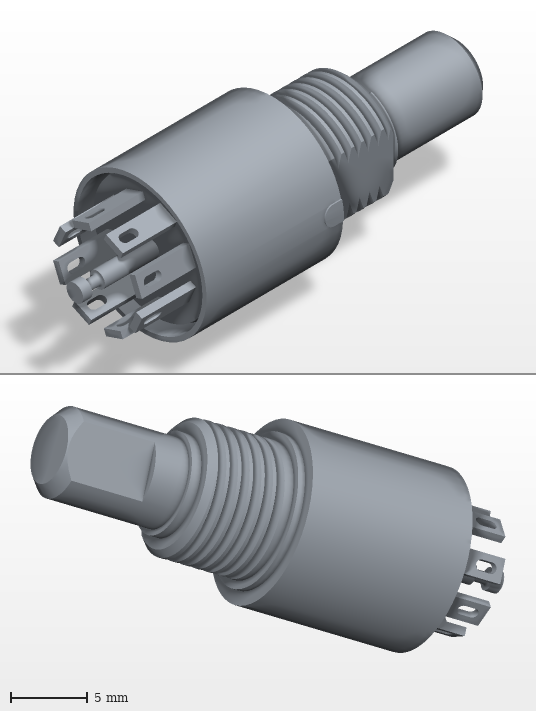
import cadquery as cq
import math


BARREL_DIAMETER = 12.7
BARREL_RADIUS = BARREL_DIAMETER / 2
BARREL_REAR_Y = -12.35
RECESS_RADIUS = 5.95
RECESS_DEPTH = 1.05
BASE_FACE_RADIUS = 5.55
BASE_TAPER_DEPTH = 1.55
BASE_FACE_Y = BARREL_REAR_Y + RECESS_DEPTH

NUB_HEIGHT = 0.1
NUB_RADIUS = BARREL_RADIUS + NUB_HEIGHT
NUB_WIDTH = 1.65
NUB_LENGTH = 1.65
NUB_Z = 0.73

FLANGE_RADIUS = 5.37
FLANGE_FRONT_Y = 0.52
BUSHING_FRONT_Y = 6.9
BUSHING_FLAT_X = 3.88
BUSHING_CHAMFER = 0.45
THREAD_CREST_RADIUS = 4.78
THREAD_ROOT_RADIUS = 4.23
THREAD_PITCH = 0.9
THREAD_HALF_ANGLE = 30
THREAD_START_Y = 1.07
THREAD_OVERCUT = 0.1

TERMINAL_COUNT = 8
TERMINAL_CIRCLE_RADIUS = 3.95
TERMINAL_WIDTH = 1.73
TERMINAL_THICKNESS = 0.6
TERMINAL_REAR_Y = -16.18
TERMINAL_EYE_LENGTH = 1.55
TERMINAL_EYE_WIDTH = 0.75
TERMINAL_EYE_Y = -14.9

POST_RADIUS = 0.73
NECK_RADIUS = 0.4
NECK_FILLET = 0.15
TURRET_HEAD_RADIUS = 0.8
TURRET_HEAD_FRONT_Y = -17.4
TURRET_REAR_Y = -18.23

SHAFT_RADIUS = 3.15
SHAFT_TIP_Y = 16.42
SHAFT_CHAMFER = 0.8
SHAFT_FLAT_LENGTH = 6.27
SHAFT_FLAT_DISTANCE = 2.43
SHAFT_FLAT_ANGLE = 22.5

RING_RADIUS = 3.57
RING_THICKNESS = 0.73
GROOVE_RADIUS = 3.0
RING_GAP_INNER_WIDTH = 1.05
RING_GAP_OUTER_WIDTH = 2.08

AXIS_PLANE = cq.Plane(origin=(0, 0, 0), xDir=(1, 0, 0), normal=(0, 1, 0))


def cylinder(radius, start_y, end_y):
    """Cylinder on the Y axis between two Y positions."""
    return cq.Workplane(AXIS_PLANE).workplane(offset=start_y).circle(radius).extrude(end_y - start_y)


def thread_groove():
    """Right-hand V groove that starts inside the bushing flat and runs out of the front face."""
    outer_radius = THREAD_CREST_RADIUS + THREAD_OVERCUT
    half_width = (outer_radius - THREAD_ROOT_RADIUS) * math.tan(math.radians(THREAD_HALF_ANGLE))
    height = BUSHING_FRONT_Y - THREAD_START_Y + THREAD_PITCH
    helix = cq.Wire.makeHelix(THREAD_PITCH, height, THREAD_ROOT_RADIUS)
    profile = (
        cq.Workplane("XZ")
        .moveTo(THREAD_ROOT_RADIUS, 0)
        .lineTo(outer_radius, half_width)
        .lineTo(outer_radius, -half_width)
        .close()
    )
    groove = profile.sweep(cq.Workplane(helix), isFrenet=True)
    return groove.rotate((0, 0, 0), (1, 0, 0), -90).translate((0, THREAD_START_Y, 0))


def threaded_bushing():
    """Bushing with a flat on its +X side and a thread cut around the rest."""
    bushing = cylinder(THREAD_CREST_RADIUS, FLANGE_FRONT_Y, BUSHING_FRONT_Y)
    bushing = bushing.faces(">Y").chamfer(BUSHING_CHAMFER)
    length = BUSHING_FRONT_Y - FLANGE_FRONT_Y
    beyond_flat = cq.Workplane("XY").box(
        THREAD_CREST_RADIUS, length, 2 * THREAD_CREST_RADIUS, centered=(False, False, True)
    )
    bushing = bushing.cut(beyond_flat.translate((BUSHING_FLAT_X, FLANGE_FRONT_Y, 0)))
    return bushing.cut(thread_groove())


def barrel():
    """Barrel whose recessed rear face has a tapered edge, leaving a V groove along the recess wall."""
    outline = (
        cq.Workplane("XY")
        .moveTo(0, 0)
        .lineTo(BARREL_RADIUS, 0)
        .lineTo(BARREL_RADIUS, BARREL_REAR_Y)
        .lineTo(RECESS_RADIUS, BARREL_REAR_Y)
        .lineTo(RECESS_RADIUS, BASE_FACE_Y + BASE_TAPER_DEPTH)
        .lineTo(BASE_FACE_RADIUS, BASE_FACE_Y)
        .lineTo(0, BASE_FACE_Y)
        .close()
    )
    return outline.revolve(360, (0, 0, 0), (0, 1, 0))


def locating_nub():
    """Raised pad with a round rear end, concentric with the barrel."""
    end_radius = NUB_WIDTH / 2
    straight_length = NUB_LENGTH - end_radius
    pad = (
        cq.Workplane("YZ")
        .moveTo(0, NUB_Z + end_radius)
        .lineTo(-straight_length, NUB_Z + end_radius)
        .threePointArc((-NUB_LENGTH, NUB_Z), (-straight_length, NUB_Z - end_radius))
        .lineTo(0, NUB_Z - end_radius)
        .close()
        .extrude(NUB_RADIUS)
    )
    return pad.intersect(cylinder(NUB_RADIUS, -NUB_LENGTH, 0))


def flat_terminal(angle):
    """Terminal blade with a slotted eye, turned about the Y axis."""
    blade = cq.Workplane("XY").box(
        TERMINAL_WIDTH, BASE_FACE_Y - TERMINAL_REAR_Y, TERMINAL_THICKNESS, centered=(True, False, True)
    )
    blade = blade.translate((0, TERMINAL_REAR_Y, 0))
    eye = (
        cq.Workplane("XY")
        .center(0, TERMINAL_EYE_Y)
        .slot2D(TERMINAL_EYE_LENGTH, TERMINAL_EYE_WIDTH, 90)
        .extrude(TERMINAL_THICKNESS, both=True)
    )
    blade = blade.cut(eye).translate((0, 0, TERMINAL_CIRCLE_RADIUS))
    return blade.rotate((0, 0, 0), (0, 1, 0), angle)


def turret_terminal():
    """Post, filleted neck and head in one revolved profile."""
    fillet_radius = NECK_RADIUS + NECK_FILLET
    outline = (
        cq.Workplane("XY")
        .moveTo(0, BASE_FACE_Y)
        .lineTo(POST_RADIUS, BASE_FACE_Y)
        .lineTo(POST_RADIUS, TERMINAL_REAR_Y)
        .lineTo(fillet_radius, TERMINAL_REAR_Y)
        .radiusArc((NECK_RADIUS, TERMINAL_REAR_Y - NECK_FILLET), -NECK_FILLET)
        .lineTo(NECK_RADIUS, TURRET_HEAD_FRONT_Y + NECK_FILLET)
        .radiusArc((fillet_radius, TURRET_HEAD_FRONT_Y), -NECK_FILLET)
        .lineTo(TURRET_HEAD_RADIUS, TURRET_HEAD_FRONT_Y)
        .lineTo(TURRET_HEAD_RADIUS, TURRET_REAR_Y)
        .lineTo(0, TURRET_REAR_Y)
        .close()
    )
    return outline.revolve(360, (0, 0, 0), (0, 1, 0))


def make_housing():
    """Barrel, flange, bushing and terminals, with a blind bore for the shaft."""
    body = barrel().union(cylinder(FLANGE_RADIUS, 0, FLANGE_FRONT_Y))
    body = body.union(threaded_bushing()).union(locating_nub()).union(turret_terminal())
    pitch_angle = 360 / TERMINAL_COUNT
    for index in range(TERMINAL_COUNT):
        body = body.union(flat_terminal((index + 0.5) * pitch_angle))
    return body.cut(cylinder(SHAFT_RADIUS, 0, BUSHING_FRONT_Y))


def make_shaft():
    """Chamfered shaft with a side flat at its tip and a groove for the retaining ring."""
    shaft = cylinder(SHAFT_RADIUS, 0, SHAFT_TIP_Y).faces(">Y").chamfer(SHAFT_CHAMFER)
    beyond_flat = cq.Workplane("XY").box(
        SHAFT_RADIUS, SHAFT_FLAT_LENGTH, 2 * SHAFT_RADIUS, centered=(False, False, True)
    )
    beyond_flat = beyond_flat.translate((SHAFT_FLAT_DISTANCE, SHAFT_TIP_Y - SHAFT_FLAT_LENGTH, 0))
    flat_turn = 180 - SHAFT_FLAT_ANGLE
    shaft = shaft.cut(beyond_flat.rotate((0, 0, 0), (0, 1, 0), flat_turn))
    groove_front_y = BUSHING_FRONT_Y + RING_THICKNESS
    groove = cylinder(SHAFT_RADIUS, BUSHING_FRONT_Y, groove_front_y)
    groove = groove.cut(cylinder(GROOVE_RADIUS, BUSHING_FRONT_Y, groove_front_y))
    return shaft.cut(groove)


def make_retaining_ring():
    """C-shaped ring whose gap faces +Z and widens outward."""
    front_y = BUSHING_FRONT_Y + RING_THICKNESS
    ring = cylinder(RING_RADIUS, BUSHING_FRONT_Y, front_y)
    ring = ring.cut(cylinder(GROOVE_RADIUS, BUSHING_FRONT_Y, front_y))
    inner_half = RING_GAP_INNER_WIDTH / 2
    outer_half = RING_GAP_OUTER_WIDTH / 2
    inner_z = math.sqrt(GROOVE_RADIUS**2 - inner_half**2)
    outer_z = math.sqrt(RING_RADIUS**2 - outer_half**2)
    gap = (
        cq.Workplane("XZ")
        .moveTo(-inner_half, 0)
        .lineTo(-inner_half, inner_z)
        .lineTo(-outer_half, outer_z)
        .lineTo(-outer_half, RING_RADIUS)
        .lineTo(outer_half, RING_RADIUS)
        .lineTo(outer_half, outer_z)
        .lineTo(inner_half, inner_z)
        .lineTo(inner_half, 0)
        .close()
        .extrude(-front_y)
    )
    return ring.cut(gap)


housing = make_housing()
shaft = make_shaft()
retaining_ring = make_retaining_ring()

result = cq.Compound.makeCompound([housing.val(), shaft.val(), retaining_ring.val()])